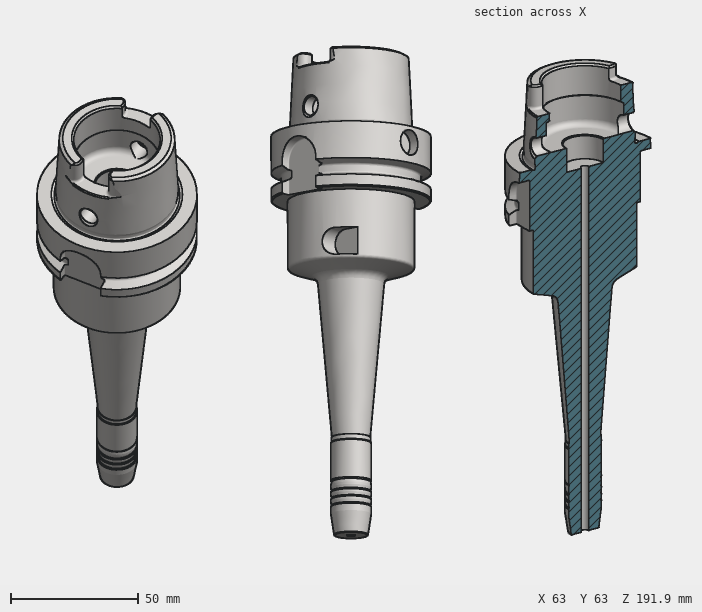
import cadquery as cq
import math


SHANK_LENGTH = 31.95
TAPER_RATIO = 9.98
GAUGE_HEIGHT = 6.3
GAUGE_RADIUS = 48.0 / 2
TOP_CHAMFER_WIDTH = 1.4
TOP_CHAMFER_HEIGHT = 0.8
TAPER_FOOT_HEIGHT = 2.3
RELIEF_RADIUS = 24.0
RELIEF_TOP = 1.2
RELIEF_FILLET = 0.7
RELIEF_DEPTH = 0.5
RELIEF_EDGE_RADIUS = 25.8

FLANGE_RADIUS = 63.0 / 2
FLANGE_HEIGHT = 26.0
FLANGE_CHAMFER = 0.5
GROOVE_CENTRE = 18.0
GROOVE_RADIUS = 55.0 / 2
GROOVE_MOUTH = 6.6
GROOVE_FLOOR = 3.5
GROOVE_FILLET = 0.8

BODY_RADIUS = 25.0
BODY_BOTTOM = -53.2
BODY_FILLET = 1.3
SHOULDER_ANGLE = 17.5
NECK_RADIUS = 13.3
NECK_FILLET = 3.5
NECK_BOTTOM = -120.7
NECK_END_RADIUS = 7.6
COLLAR_RADIUS = 7.8
COLLAR_BOTTOM = -122.6
COLLAR_CHAMFER_HEIGHT = 0.4
NOSE_RADIUS = 8.0
NOSE_TAPER_TOP = -151.4
NOSE_TIP_RADIUS = 6.75
NOSE_BOTTOM = -159.95
TIP_CHAMFER = 0.3

MARK_DEPTH = 0.25
MARK_SHORT_FLANK = 0.6
MARK_LONG_FLANK = 1.3
MARK_PITCH = 2.89
MARK_COUNT = 3
FIRST_MARK_TOP = -138.0
SECOND_MARK_TOP = -140.9

BORE_RADIUS = 17.0
BORE_CHAMFER = 0.8
UNDERCUT_TOP = 18.8
UNDERCUT_RADIUS = 18.5
UNDERCUT_ANGLE = 30.0
BORE_FLOOR = 5.2
BORE_FLOOR_FILLET = 2.8
TUBE_SEAT_RADIUS = 8.7
TUBE_SEAT_CHAMFER = 0.4
TUBE_SEAT_FLOOR = -5.0
COOLANT_RADIUS = 1.75

SLOT_HALF_WIDTH = 12.54 / 2
SLOT_INNER_END = 12.0
SLOT_LIP_RADIUS = 3.0
SLOT_LIP_CENTRE = 17.7
SLOT_LIP_TURN = 26.0
SLOT_MOUTH_HALF_WIDTH = 12.9
SLOT_FLOOR_FILLET = 1.2
SLOT_TOP_CHAMFER = 0.7
SLOT_RIM_CHAMFER = 0.5
SLOT_RIM_HALF_WIDTH = 8.0
FRONT_SLOT_DEPTH = 10.0
REAR_SLOT_DEPTH = 6.0

CROSS_HOLE_RADIUS = 3.75
CROSS_HOLE_HEIGHT = 9.0
CROSS_HOLE_CHAMFER = 0.7

KEYWAY_HALF_WIDTH = 9.0
KEYWAY_CENTRE = -13.4
KEYWAY_FLOOR = 26.5
KEYWAY_FILLET = 0.5

SIDE_HOLE_RADIUS = 5.0
SIDE_HOLE_HEIGHT = -6.6
SIDE_HOLE_DEPTH = 4.6

POCKET_RADIUS = 5.4
POCKET_HEIGHT = -46.6
POCKET_CENTRE_X = -12.2
POCKET_FLOOR_Y = 16.5

CLEAR = 10.0


def taper_radius(z):
    return GAUGE_RADIUS - (z - GAUGE_HEIGHT) / (2 * TAPER_RATIO)


def mark_points(top, upper_flank, lower_flank):
    """Outline points of one V-shaped marking groove, from the top down."""
    vertex = top - upper_flank
    return [
        (NOSE_RADIUS, top),
        (NOSE_RADIUS - MARK_DEPTH, vertex),
        (NOSE_RADIUS, vertex - lower_flank),
    ]


def neck_corner_height():
    """Height at which the sloping shoulder would meet the neck without a fillet."""
    slope = math.tan(math.radians(SHOULDER_ANGLE))
    return BODY_BOTTOM - (BODY_RADIUS - NECK_RADIUS) * slope


def turned_blank():
    """Outer shape: one profile revolved about Z."""
    chamfer_foot = SHANK_LENGTH - TOP_CHAMFER_HEIGHT
    shank = [
        (0, SHANK_LENGTH),
        (taper_radius(SHANK_LENGTH) - TOP_CHAMFER_WIDTH, SHANK_LENGTH),
        (taper_radius(chamfer_foot), chamfer_foot),
        (taper_radius(TAPER_FOOT_HEIGHT), TAPER_FOOT_HEIGHT),
        (RELIEF_RADIUS, RELIEF_TOP),
        (RELIEF_RADIUS, RELIEF_FILLET - RELIEF_DEPTH),
    ]
    groove_half_mouth = GROOVE_MOUTH / 2
    groove_half_floor = GROOVE_FLOOR / 2
    flange = [
        (FLANGE_RADIUS, 0),
        (FLANGE_RADIUS, -GROOVE_CENTRE + groove_half_mouth),
        (GROOVE_RADIUS, -GROOVE_CENTRE + groove_half_floor),
        (GROOVE_RADIUS, -GROOVE_CENTRE - groove_half_floor),
        (FLANGE_RADIUS, -GROOVE_CENTRE - groove_half_mouth),
        (FLANGE_RADIUS, -FLANGE_HEIGHT + FLANGE_CHAMFER),
        (FLANGE_RADIUS - FLANGE_CHAMFER, -FLANGE_HEIGHT),
    ]
    neck = [
        (BODY_RADIUS, -FLANGE_HEIGHT),
        (BODY_RADIUS, BODY_BOTTOM),
        (NECK_RADIUS, neck_corner_height()),
        (NECK_END_RADIUS, NECK_BOTTOM),
        (COLLAR_RADIUS, NECK_BOTTOM),
        (COLLAR_RADIUS, COLLAR_BOTTOM),
        (NOSE_RADIUS, COLLAR_BOTTOM - COLLAR_CHAMFER_HEIGHT),
    ]
    marks = mark_points(FIRST_MARK_TOP, MARK_SHORT_FLANK, MARK_LONG_FLANK)
    for i in range(MARK_COUNT):
        marks += mark_points(SECOND_MARK_TOP - i * MARK_PITCH, MARK_LONG_FLANK, MARK_SHORT_FLANK)
    tip = [
        (NOSE_RADIUS, NOSE_TAPER_TOP),
        (NOSE_TIP_RADIUS, NOSE_BOTTOM + TIP_CHAMFER),
        (NOSE_TIP_RADIUS - TIP_CHAMFER, NOSE_BOTTOM),
        (0, NOSE_BOTTOM),
    ]
    bend = RELIEF_FILLET * (1 - math.sqrt(0.5))
    profile = (
        cq.Workplane("XZ")
        .polyline(shank)
        .threePointArc(
            (RELIEF_RADIUS + bend, bend - RELIEF_DEPTH),
            (RELIEF_RADIUS + RELIEF_FILLET, -RELIEF_DEPTH),
        )
        .lineTo(RELIEF_EDGE_RADIUS, 0)
    )
    for point in flange + neck + marks + tip:
        profile = profile.lineTo(*point)
    blank = profile.close().revolve(360, (0, 0, 0), (0, 1, 0))
    for edge in (groove_half_floor, -groove_half_floor):
        blank = round_ring(blank, GROOVE_RADIUS, edge - GROOVE_CENTRE, GROOVE_FILLET)
    blank = round_ring(blank, BODY_RADIUS, BODY_BOTTOM, BODY_FILLET)
    return round_ring(blank, NECK_RADIUS, neck_corner_height(), NECK_FILLET)


def round_ring(solid, ring_radius, height, fillet):
    """Fillet the circular edge of the given radius at the given height."""
    margin = 0.05
    reach = ring_radius + margin
    ring = cq.selectors.BoxSelector(
        (-reach, -reach, height - margin), (reach, reach, height + margin), boundingbox=True
    )
    return solid.edges(ring).fillet(fillet)


def bore_cutter():
    """Undercut clamping bore, coolant tube seat and coolant hole: one revolved profile."""
    shoulder = (UNDERCUT_RADIUS - BORE_RADIUS) * math.tan(math.radians(UNDERCUT_ANGLE))
    bend = BORE_FLOOR_FILLET * (1 - math.sqrt(0.5))
    return (
        cq.Workplane("XZ")
        .polyline([
            (0, SHANK_LENGTH),
            (BORE_RADIUS + BORE_CHAMFER, SHANK_LENGTH),
            (BORE_RADIUS, SHANK_LENGTH - BORE_CHAMFER),
            (BORE_RADIUS, UNDERCUT_TOP),
            (UNDERCUT_RADIUS, UNDERCUT_TOP - shoulder),
            (UNDERCUT_RADIUS, BORE_FLOOR + BORE_FLOOR_FILLET),
        ])
        .threePointArc(
            (UNDERCUT_RADIUS - bend, BORE_FLOOR + bend),
            (UNDERCUT_RADIUS - BORE_FLOOR_FILLET, BORE_FLOOR),
        )
        .lineTo(TUBE_SEAT_RADIUS + TUBE_SEAT_CHAMFER, BORE_FLOOR)
        .lineTo(TUBE_SEAT_RADIUS, BORE_FLOOR - TUBE_SEAT_CHAMFER)
        .lineTo(TUBE_SEAT_RADIUS, TUBE_SEAT_FLOOR)
        .lineTo(COOLANT_RADIUS, TUBE_SEAT_FLOOR)
        .lineTo(COOLANT_RADIUS, NOSE_BOTTOM - CLEAR)
        .lineTo(0, NOSE_BOTTOM - CLEAR)
        .close()
        .revolve(360, (0, 0, 0), (0, 1, 0))
    )


def slot_rim_cutter(floor):
    """Chamfer along the outer edge of a drive slot floor at the given height: a triangle swept about Z."""
    inner_radius = taper_radius(floor) - SLOT_RIM_CHAMFER
    drop = 2 * SLOT_RIM_CHAMFER
    half_angle = math.degrees(math.asin(SLOT_RIM_HALF_WIDTH / taper_radius(floor)))
    return (
        cq.Workplane("XZ")
        .polyline([
            (inner_radius, floor),
            (inner_radius + drop, floor),
            (inner_radius + drop, floor - drop),
        ])
        .close()
        .revolve(2 * half_angle, (0, 0, 0), (0, 1, 0))
        .rotate((0, 0, 0), (0, 0, 1), -90 - half_angle)
    )


def drive_slot_cutter(depth):
    """Drive slot on the -Y side: straight walls whose outer ends curl around a rounded lip."""
    lip_x = SLOT_HALF_WIDTH + SLOT_LIP_RADIUS
    lip_y = -SLOT_LIP_CENTRE
    turn = math.radians(SLOT_LIP_TURN)
    lip_end_x = lip_x + SLOT_LIP_RADIUS * math.sin(turn)
    lip_end_y = lip_y - SLOT_LIP_RADIUS * math.cos(turn)
    mouth_y = lip_end_y + (SLOT_MOUTH_HALF_WIDTH - lip_end_x) * math.tan(turn)
    middle_x = lip_x - SLOT_LIP_RADIUS * math.cos(math.pi / 4)
    middle_y = lip_y - SLOT_LIP_RADIUS * math.sin(math.pi / 4)
    outer_y = -GAUGE_RADIUS - CLEAR

    def outline(base):
        return (
            cq.Workplane("XY", origin=(0, 0, base))
            .moveTo(-SLOT_HALF_WIDTH, -SLOT_INNER_END)
            .lineTo(-SLOT_HALF_WIDTH, lip_y)
            .threePointArc((-middle_x, middle_y), (-lip_end_x, lip_end_y))
            .lineTo(-SLOT_MOUTH_HALF_WIDTH, mouth_y)
            .lineTo(-SLOT_MOUTH_HALF_WIDTH, outer_y)
            .lineTo(SLOT_MOUTH_HALF_WIDTH, outer_y)
            .lineTo(SLOT_MOUTH_HALF_WIDTH, mouth_y)
            .lineTo(lip_end_x, lip_end_y)
            .threePointArc((middle_x, middle_y), (SLOT_HALF_WIDTH, lip_y))
            .lineTo(SLOT_HALF_WIDTH, -SLOT_INNER_END)
            .close()
        )

    floor = SHANK_LENGTH - depth
    slot = outline(floor).extrude(depth).faces("<Z").edges().fillet(SLOT_FLOOR_FILLET)
    wall_foot = SHANK_LENGTH - SLOT_TOP_CHAMFER
    flare = outline(wall_foot).extrude(SLOT_TOP_CHAMFER, taper=-45)
    return slot.union(flare).union(slot_rim_cutter(floor))


def cross_hole_cutter():
    """Hole along Y through both shank walls, chamfered where it leaves the taper."""
    centre = (0, 0, CROSS_HOLE_HEIGHT)
    inner_reach = UNDERCUT_RADIUS - BORE_FLOOR_FILLET
    outer_reach = GAUGE_RADIUS + CLEAR
    wall_hole = (
        cq.Workplane("XZ", origin=(0, -inner_reach, CROSS_HOLE_HEIGHT))
        .circle(CROSS_HOLE_RADIUS)
        .extrude(outer_reach - inner_reach)
    )
    surface = taper_radius(CROSS_HOLE_HEIGHT)
    mouth_radius = CROSS_HOLE_RADIUS + CROSS_HOLE_CHAMFER
    overshoot = CROSS_HOLE_CHAMFER
    mouth = (
        cq.Workplane("XY", origin=centre)
        .polyline([
            (0, -surface - overshoot),
            (mouth_radius + overshoot, -surface - overshoot),
            (CROSS_HOLE_RADIUS, -surface + CROSS_HOLE_CHAMFER),
            (0, -surface + CROSS_HOLE_CHAMFER),
        ])
        .close()
        .revolve(360, (0, 0, 0), (0, 1, 0))
    )
    one_side = wall_hole.union(mouth)
    return one_side.union(one_side.mirror("XZ"))


def keyway_cutter():
    """Flat-floored keyway on the -Y side, round at the top and open at the flange bottom."""
    bottom = -FLANGE_HEIGHT - CLEAR
    return (
        cq.Workplane("XZ", origin=(0, -KEYWAY_FLOOR, 0))
        .moveTo(-KEYWAY_HALF_WIDTH, bottom)
        .lineTo(-KEYWAY_HALF_WIDTH, KEYWAY_CENTRE)
        .threePointArc((0, KEYWAY_CENTRE + KEYWAY_HALF_WIDTH), (KEYWAY_HALF_WIDTH, KEYWAY_CENTRE))
        .lineTo(KEYWAY_HALF_WIDTH, bottom)
        .close()
        .extrude(CLEAR)
        .faces(">Y")
        .edges()
        .fillet(KEYWAY_FILLET)
    )


def side_hole_cutter():
    """Flat-bottomed hole in the -X side of the flange."""
    return (
        cq.Workplane("YZ", origin=(-FLANGE_RADIUS + SIDE_HOLE_DEPTH, 0, SIDE_HOLE_HEIGHT))
        .circle(SIDE_HOLE_RADIUS)
        .extrude(-SIDE_HOLE_DEPTH - CLEAR)
    )


def body_pocket_cutter():
    """Round-ended pocket that opens toward +Y and -X, with a flat floor facing +Y."""
    outer_x = -BODY_RADIUS - CLEAR
    top = POCKET_HEIGHT + POCKET_RADIUS
    bottom = POCKET_HEIGHT - POCKET_RADIUS
    return (
        cq.Workplane("XZ", origin=(0, POCKET_FLOOR_Y, 0))
        .moveTo(outer_x, top)
        .lineTo(POCKET_CENTRE_X, top)
        .threePointArc((POCKET_CENTRE_X + POCKET_RADIUS, POCKET_HEIGHT), (POCKET_CENTRE_X, bottom))
        .lineTo(outer_x, bottom)
        .close()
        .extrude(-BODY_RADIUS)
    )


result = turned_blank().cut(bore_cutter())
result = result.cut(drive_slot_cutter(FRONT_SLOT_DEPTH))
result = result.cut(drive_slot_cutter(REAR_SLOT_DEPTH).mirror("XZ"))
result = result.cut(cross_hole_cutter())
result = result.cut(keyway_cutter())
result = result.cut(keyway_cutter().mirror("XZ"))
result = result.cut(side_hole_cutter())
result = result.cut(body_pocket_cutter())